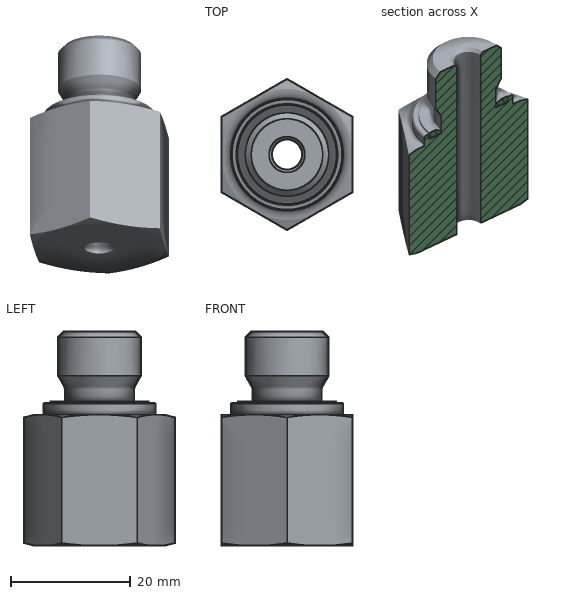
import cadquery as cq
import math

hex_across_flats = 22.0
hex_height = 22.0
hex_chamfer_angle = 15
corner_radius = hex_across_flats / 2 / math.cos(math.radians(30))
corner_drop = (corner_radius - hex_across_flats / 2) * math.tan(math.radians(hex_chamfer_angle))

flange_diameter = 18.9
flange_top = 24.0
flange_chamfer = 0.2
recess_chamfer = 0.2
recess_floor = 23.0

overall_height = 36
plug_diameter = 14.0
plug_chamfer = 1.0
neck_diameter = 11.7
neck_top = 26.28
neck_fillet_radius = 1.0
taper_angle = 30

bore_diameter = 5.0
bore_chamfer = 0.5

seal_diameter = 16.6
seal_top = 24.23
seal_countersink_diameter = plug_diameter
seal_countersink_depth = 0.58


def make_hex_base():
    """Hexagonal prism whose corners are cut back by a cone at both ends."""
    prism = (
        cq.Workplane("XY")
        .polygon(6, 2 * corner_radius)
        .extrude(hex_height)
        .rotate((0, 0, 0), (0, 0, 1), 30)
    )
    flat_radius = hex_across_flats / 2
    envelope = (
        cq.Workplane("XZ")
        .lineTo(flat_radius, 0)
        .lineTo(corner_radius, corner_drop)
        .lineTo(corner_radius, hex_height - corner_drop)
        .lineTo(flat_radius, hex_height)
        .lineTo(0, hex_height)
        .close()
        .revolve(360, (0, 0, 0), (0, 1, 0))
    )
    return prism.intersect(envelope)


def make_flange():
    """Round flange with a chamfered rim and an annular seal recess."""
    flange = (
        cq.Workplane("XY", origin=(0, 0, hex_height))
        .circle(flange_diameter / 2)
        .extrude(flange_top - hex_height)
        .faces(">Z")
        .chamfer(flange_chamfer)
    )
    seal_radius = seal_diameter / 2
    recess = (
        cq.Workplane("XZ")
        .moveTo(neck_diameter / 2, recess_floor)
        .lineTo(seal_radius, recess_floor)
        .lineTo(seal_radius, flange_top - recess_chamfer)
        .lineTo(seal_radius + recess_chamfer, flange_top)
        .lineTo(neck_diameter / 2, flange_top)
        .close()
        .revolve(360, (0, 0, 0), (0, 1, 0))
    )
    return flange.cut(recess)


def make_plug():
    """Neck that blends through a fillet and a taper into a chamfered plug."""
    neck_radius = neck_diameter / 2
    plug_radius = plug_diameter / 2

    def fillet_point(angle):
        radians = math.radians(angle)
        radius = neck_radius + neck_fillet_radius * (1 - math.cos(radians))
        return radius, neck_top + neck_fillet_radius * math.sin(radians)

    taper_radius, taper_bottom = fillet_point(taper_angle)
    taper_top = taper_bottom + (plug_radius - taper_radius) / math.tan(math.radians(taper_angle))
    return (
        cq.Workplane("XZ")
        .moveTo(0, recess_floor)
        .lineTo(neck_radius, recess_floor)
        .lineTo(neck_radius, neck_top)
        .threePointArc(fillet_point(taper_angle / 2), (taper_radius, taper_bottom))
        .lineTo(plug_radius, taper_top)
        .lineTo(plug_radius, overall_height - plug_chamfer)
        .lineTo(plug_radius - plug_chamfer, overall_height)
        .lineTo(0, overall_height)
        .close()
        .revolve(360, (0, 0, 0), (0, 1, 0))
    )


def make_bore():
    """Through hole with a chamfered mouth at the top."""
    bore_radius = bore_diameter / 2
    return (
        cq.Workplane("XZ")
        .lineTo(bore_radius, 0)
        .lineTo(bore_radius, overall_height - bore_chamfer)
        .lineTo(bore_radius + bore_chamfer, overall_height)
        .lineTo(0, overall_height)
        .close()
        .revolve(360, (0, 0, 0), (0, 1, 0))
    )


def make_fitting():
    return make_hex_base().union(make_flange()).union(make_plug()).cut(make_bore())


def make_seal():
    """Flat ring around the neck, countersunk at its inner top edge."""
    return (
        cq.Workplane("XZ")
        .moveTo(neck_diameter / 2, recess_floor)
        .lineTo(seal_diameter / 2, recess_floor)
        .lineTo(seal_diameter / 2, seal_top)
        .lineTo(seal_countersink_diameter / 2, seal_top)
        .lineTo(neck_diameter / 2, seal_top - seal_countersink_depth)
        .close()
        .revolve(360, (0, 0, 0), (0, 1, 0))
    )


fitting = make_fitting()
seal = make_seal()
result = cq.Compound.makeCompound([fitting.val(), seal.val()])